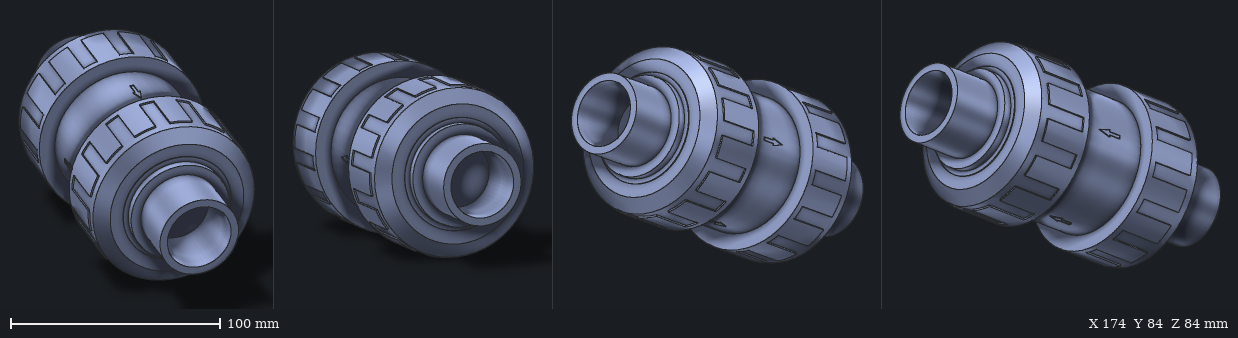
import cadquery as cq
import math

total_length = 174.0
half_length = total_length / 2
flange_x = 60.5
hub_x = 56.5
nut_outer_x = 56.0
cone_end_x = 51.5
rib_outer_x = 47.0
groove_inner_x = 24.3
nut_inner_x = 20.8

bore_diameter = 32.4
pipe_diameter = 40.0
flange_diameter = 50.0
hub_diameter = 55.0
body_diameter = 68.04
nut_diameter = 84.0
nut_root_diameter = 0.98 * nut_diameter
nut_face_diameter = 0.81 * nut_diameter

groove_count = 14
groove_pitch = 360 / groove_count
groove_angle = 10.0
groove_offset = 7.5
collar_overlap = 1.0

arrow_count = 4
arrow_length = 13.4
arrow_shaft_width = 1.7
arrow_head_width = 3.8
arrow_height = 0.4

bore_depth = half_length - nut_outer_x


def disc(diameter, start_x, end_x):
    """Round bar on the X axis between two places."""
    return cq.Workplane("YZ", origin=(start_x, 0, 0)).circle(diameter / 2).extrude(end_x - start_x)


def make_body():
    """Barrel, plain nuts, hubs, flanges and pipes as one turned shape, mirrored about the middle."""
    left_steps = [
        (-half_length, 0),
        (-half_length, pipe_diameter / 2),
        (-flange_x, pipe_diameter / 2),
        (-flange_x, flange_diameter / 2),
        (-hub_x, flange_diameter / 2),
        (-hub_x, hub_diameter / 2),
        (-nut_outer_x, hub_diameter / 2),
        (-nut_outer_x, nut_face_diameter / 2),
        (-cone_end_x, nut_root_diameter / 2),
        (-nut_inner_x, nut_root_diameter / 2),
        (-nut_inner_x, body_diameter / 2),
    ]
    right_steps = [(-x, radius) for x, radius in reversed(left_steps)]
    profile = cq.Workplane("XY").polyline(left_steps + right_steps).close()
    return profile.revolve(360, (0, 0, 0), (1, 0, 0))


def make_groove():
    """Cutter for one grip groove: a wedge centred on -Y, longer than the collar's radius."""
    wedge_depth = nut_diameter
    half_width = wedge_depth * math.tan(math.radians(groove_angle / 2))
    return (
        cq.Workplane("YZ", origin=(-rib_outer_x, 0, 0))
        .polyline([(0, 0), (-wedge_depth, half_width), (-wedge_depth, -half_width)])
        .close()
        .extrude(rib_outer_x - groove_inner_x)
    )


def make_collar():
    """Grip collar of the -X nut: a ring with grooves that open towards the pipe."""
    inner_diameter = nut_root_diameter - 2 * collar_overlap
    collar = disc(nut_diameter, -rib_outer_x, -nut_inner_x)
    collar = collar.cut(disc(inner_diameter, -rib_outer_x, -nut_inner_x))
    groove = make_groove()
    for index in range(groove_count):
        angle = groove_offset + index * groove_pitch
        collar = collar.cut(groove.rotate((0, 0, 0), (1, 0, 0), angle))
    return collar


def make_arrow():
    """Flow arrow on the +Z side, its top following the round body."""
    tail_x = -arrow_length / 2
    tip_x = arrow_length / 2
    prism = (
        cq.Workplane("XY")
        .moveTo(tail_x, -arrow_shaft_width / 2)
        .lineTo(0, -arrow_shaft_width / 2)
        .lineTo(0, -arrow_head_width / 2)
        .lineTo(tip_x, 0)
        .lineTo(0, arrow_head_width / 2)
        .lineTo(0, arrow_shaft_width / 2)
        .lineTo(tail_x, arrow_shaft_width / 2)
        .close()
        .extrude(body_diameter)
    )
    return prism.intersect(disc(body_diameter + 2 * arrow_height, tail_x, tip_x))


valve = make_body()
left_collar = make_collar()
right_collar = left_collar.rotate((0, 0, 0), (0, 1, 0), 180)
valve = valve.union(left_collar).union(right_collar)

arrow = make_arrow()
for index in range(arrow_count):
    valve = valve.union(arrow.rotate((0, 0, 0), (1, 0, 0), index * 360 / arrow_count))

for bore_start in (-half_length, half_length - bore_depth):
    valve = valve.cut(disc(bore_diameter, bore_start, bore_start + bore_depth))

result = valve